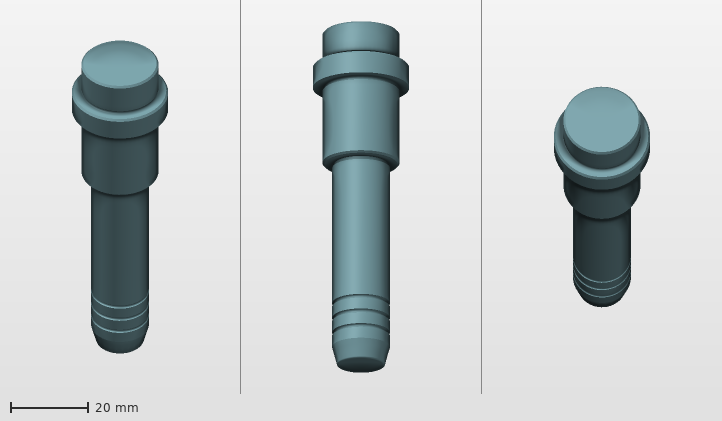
import cadquery as cq
import math

LENGTH = 91.0
COLLAR_RADIUS = 12.5
BODY_RADIUS = 10.0
SHANK_RADIUS = 7.5
NECK_RADIUS = 7.0

HEAD_LENGTH = 9.0
COLLAR_LENGTH = 6.0
BODY_LENGTH = 21.0
NECK_LENGTH = 1.0
TIP_LENGTH = 5.0

TIP_HALF_ANGLE = 15.0
TIP_FILLET = 0.5
CHAMFER = 0.5
GROOVE_RADIUS = 0.5

SHANK_GROOVE_COUNT = 3
SHANK_GROOVE_PITCH = 4.0

COLLAR_TOP = LENGTH - HEAD_LENGTH
COLLAR_BOTTOM = COLLAR_TOP - COLLAR_LENGTH
BODY_BOTTOM = COLLAR_BOTTOM - BODY_LENGTH
NECK_BOTTOM = BODY_BOTTOM - NECK_LENGTH


def cylinder(radius, bottom, top):
    """Solid cylinder on the Z axis between two heights."""
    return cq.Workplane("XY").workplane(offset=bottom).circle(radius).extrude(top - bottom)


def revolve_about_axis(profile):
    """Full turn about Z of a closed (radius, height) profile."""
    return profile.revolve(360, (0, 0, 0), (0, 1, 0))


def round_groove(radius, bottom):
    """Ring that cuts a half-round groove into a cylinder, from the given height up."""
    middle = bottom + GROOVE_RADIUS
    top = middle + GROOVE_RADIUS
    floor = radius - GROOVE_RADIUS
    diagonal = GROOVE_RADIUS * math.sqrt(0.5)
    profile = (
        cq.Workplane("XZ")
        .moveTo(radius, bottom)
        .threePointArc((radius - diagonal, middle - diagonal), (floor, middle))
        .threePointArc((radius - diagonal, middle + diagonal), (radius, top))
        .close()
    )
    return revolve_about_axis(profile)


def make_head():
    """Plain head with a relief groove just above the collar."""
    head = cylinder(BODY_RADIUS, COLLAR_TOP, LENGTH).faces(">Z").chamfer(CHAMFER)
    return head.cut(round_groove(BODY_RADIUS, COLLAR_TOP))


def make_collar():
    return cylinder(COLLAR_RADIUS, COLLAR_BOTTOM, COLLAR_TOP).faces(">Z").chamfer(CHAMFER)


def make_body():
    """Thick body with a relief groove just below the collar."""
    body = cylinder(BODY_RADIUS, BODY_BOTTOM, COLLAR_BOTTOM).faces("<Z").chamfer(CHAMFER)
    return body.cut(round_groove(BODY_RADIUS, COLLAR_BOTTOM - 2 * GROOVE_RADIUS))


def make_shank():
    """Thin shank with a rounded conical tip, ring grooves and a neck under the body."""
    tip_radius = SHANK_RADIUS - TIP_LENGTH * math.tan(math.radians(TIP_HALF_ANGLE))
    profile = cq.Workplane("XZ").polyline([
        (0, 0),
        (tip_radius, 0),
        (SHANK_RADIUS, TIP_LENGTH),
        (SHANK_RADIUS, NECK_BOTTOM),
        (0, NECK_BOTTOM),
    ]).close()
    shank = revolve_about_axis(profile).faces("<Z").edges().fillet(TIP_FILLET)
    for index in range(1, SHANK_GROOVE_COUNT + 1):
        groove_top = TIP_LENGTH + index * SHANK_GROOVE_PITCH
        shank = shank.cut(round_groove(SHANK_RADIUS, groove_top - 2 * GROOVE_RADIUS))
    return shank.union(cylinder(NECK_RADIUS, NECK_BOTTOM, BODY_BOTTOM))


result = make_shank().union(make_body()).union(make_collar()).union(make_head())